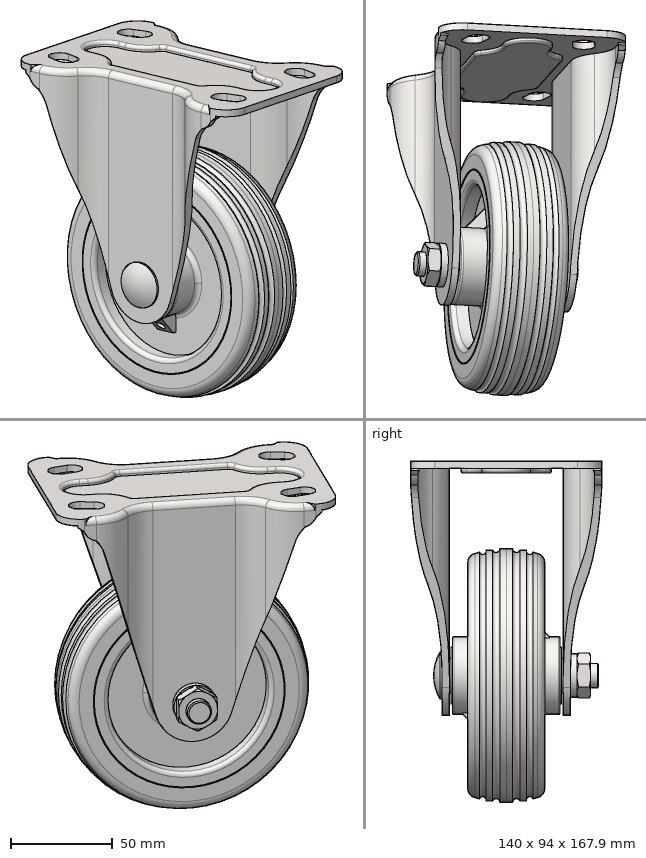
import cadquery as cq
import math


plate_length = 140.0
plate_width = 94.0
overall_height = 167.9
wheel_radius = 62.5
axle_height = wheel_radius - overall_height

sheet_thickness = 3.5
leg_inner_gap = 56.0
waist_width = leg_inner_gap + 2 * sheet_thickness
waist_half_length = 20.6
flare_end_x = 52.0
flare_split = 0.44
plate_corner_radius = 12.0
bend_radius = 3.4
bend_run_out_start_x = 57.4
bend_run_out_end_x = 53.9

leg_end_radius = 19.6
shoulder_tip = (61.1, -4.5)
shoulder_corner = (58.3, -6.7)
shoulder_step_mid = (56.2, -9.5)
shoulder_step = (52.7, -11.5)
shoulder_bend_mid = (50.4, -14.1)
leg_taper_start = (48.2, -18.0)

boss_depth = 2.4
hollow_depth = 2.9
recess_waist_width = 44.3
recess_waist_half_length = 27.0
recess_flare_end_x = 45.0
recess_flare_split = 0.25
recess_end_width = 24.0
recess_tip_x = 61.3
recess_wall_inset = 2.0
recess_edge_fillet = 1.8
boss_edge_fillet = 1.0

slot_width = 10.9
slot_straight = 6.9
slot_angle = 14
slot_x = 53.0
slot_y = 27.2

tyre_half_width = 19.0
tyre_shoulder_radius = 55.2
tyre_shoulder_start = (15.3, 60.1)
tyre_shoulder_mid = (18.0, 58.5)
crown_half_width = 3.2
tread_rib_edge = 6.7
tread_rib_end = 10.0
tread_rib_radius = 61.8
outer_rib_edge = 13.1
outer_rib_radius = 60.8
tread_groove_depth = 1.2

seam_radius = 47.8
seam_width = 0.5
seam_depth = 0.3
web_half_width = 10.4
rim_inner_radius = 40.3
rim_edge_fillet = 2.4
hub_radius = 19.1
hub_half_width = 26.5
hub_base_fillet = 2.5
hub_end_fillet = 0.8
bearing_radius = 14.0
bearing_half_width = 27.2
spacer_radius = 8.5

lug_width = 10.0
lug_outer_radius = 28.2
lug_top_y = 21.2
lug_bottom_y = 12.5
lug_hole_radius = 2.5
lug_hole_offset = 24.5
lug_hole_depth = 2.0

axle_radius = 6.0
head_radius = 11.5
head_rim = 1.0
head_height = 4.2
washer_radius = 10.7
washer_thickness = 3.4
nut_across_flats = 19.3
nut_height = 6.5
nut_chamfer = 0.7
axle_end_y = 45.5
axle_end_chamfer = 0.7


def add_flare(path, waist, flare_end, split, outward):
    """Add an S-curve of two tangent arcs; `waist` and `flare_end` both have X-parallel tangents."""
    junction = tuple(w + split * (e - w) for w, e in zip(waist, flare_end))
    finish = flare_end if outward else waist
    return path.tangentArcPoint(junction, relative=False).tangentArcPoint(finish, relative=False)


def waisted_outline(waist_x, waist_y, flare_x, end_y, tip_x, corner_radius, split):
    """Closed outline, narrow in the middle and flared towards rounded ends at both X sides."""
    path = cq.Workplane("XY").moveTo(-waist_x, waist_y)
    for side in (1, -1):
        waist_corner = (side * waist_x, side * waist_y)
        path = path.lineTo(*waist_corner)
        path = add_flare(path, waist_corner, (side * flare_x, side * end_y), split, True)
        path = path.lineTo(side * (tip_x - corner_radius), side * end_y)
        path = path.tangentArcPoint((side * tip_x, side * (end_y - corner_radius)), relative=False)
        if end_y > corner_radius:
            path = path.lineTo(side * tip_x, -side * (end_y - corner_radius))
        path = path.tangentArcPoint((side * (tip_x - corner_radius), -side * end_y), relative=False)
        path = path.lineTo(side * flare_x, -side * end_y)
        opposite_waist = (side * waist_x, -side * waist_y)
        path = add_flare(path, opposite_waist, (side * flare_x, -side * end_y), split, False)
    return path.close()


def plate_outline():
    return waisted_outline(
        waist_half_length,
        waist_width / 2,
        flare_end_x,
        plate_width / 2,
        plate_length / 2,
        plate_corner_radius,
        flare_split,
    )


def recess_outline():
    return waisted_outline(
        recess_waist_half_length,
        recess_waist_width / 2,
        recess_flare_end_x,
        recess_end_width / 2,
        recess_tip_x,
        recess_end_width / 2,
        recess_flare_split,
    )


def leg_profile():
    """Plate band plus the tapering leg, cut through along Y."""
    start_x, start_z = leg_taper_start
    to_axle = math.hypot(start_x, axle_height - start_z)
    axle_direction = math.atan2(axle_height - start_z, -start_x)
    tangent_length = math.sqrt(to_axle**2 - leg_end_radius**2)
    tangent_direction = axle_direction + math.asin(leg_end_radius / to_axle)
    tangent_x = start_x + tangent_length * math.cos(tangent_direction)
    tangent_z = start_z + tangent_length * math.sin(tangent_direction)

    def left(point):
        return (-point[0], point[1])

    return (
        cq.Workplane("XZ")
        .moveTo(-plate_length / 2, 0)
        .lineTo(plate_length / 2, 0)
        .lineTo(plate_length / 2, -sheet_thickness)
        .lineTo(shoulder_tip[0], -sheet_thickness)
        .lineTo(*shoulder_tip)
        .lineTo(*shoulder_corner)
        .threePointArc(shoulder_step_mid, shoulder_step)
        .threePointArc(shoulder_bend_mid, leg_taper_start)
        .lineTo(tangent_x, tangent_z)
        .threePointArc((0, axle_height - leg_end_radius), (-tangent_x, tangent_z))
        .lineTo(*left(leg_taper_start))
        .threePointArc(left(shoulder_bend_mid), left(shoulder_step))
        .threePointArc(left(shoulder_step_mid), left(shoulder_corner))
        .lineTo(*left(shoulder_tip))
        .lineTo(-shoulder_tip[0], -sheet_thickness)
        .lineTo(-plate_length / 2, -sheet_thickness)
        .close()
        .extrude(plate_width, both=True)
    )


def bend_zone():
    """Region whose top edges are rounded; its slanted corners run the bend out along X."""
    half_width = plate_width / 2
    inner_y = half_width - bend_radius
    corner_points = [
        (bend_run_out_start_x, half_width),
        (bend_run_out_end_x, inner_y),
        (bend_run_out_end_x, -inner_y),
        (bend_run_out_start_x, -half_width),
    ]
    opposite_points = [(-x, -y) for x, y in corner_points]
    return cq.Workplane("XY").polyline(corner_points + opposite_points).close().extrude(-overall_height)


def folded_sheet():
    """Plate with both legs folded down along its waisted edges."""
    depth = leg_end_radius - axle_height
    block = plate_outline().extrude(-depth)
    bent_block = block.faces(">Z").edges().fillet(bend_radius)
    zone = bend_zone()
    sheet = bent_block.intersect(zone).union(block.cut(zone))
    inside = plate_outline().offset2D(-sheet_thickness).extrude(sheet_thickness - depth)
    sheet = sheet.cut(inside.translate((0, 0, -sheet_thickness)))
    return sheet.intersect(leg_profile())


def add_recess(sheet):
    """Press a pan into the plate: hollow on top, boss underneath."""
    boss = recess_outline().extrude(-sheet_thickness - boss_depth)
    boss = boss.faces("<Z").edges().fillet(boss_edge_fillet)
    hollow = recess_outline().offset2D(-recess_wall_inset).extrude(-hollow_depth)
    sheet = sheet.union(boss).cut(hollow)
    rim = cq.selectors.BoxSelector(
        (-recess_tip_x, -recess_waist_width / 2, -0.2), (recess_tip_x, recess_waist_width / 2, 0.2)
    )
    return sheet.edges(rim).fillet(recess_edge_fillet)


def mounting_slots():
    slots = cq.Workplane("XY")
    for side_x in (-1, 1):
        for side_y in (-1, 1):
            slot = (
                cq.Workplane("XY")
                .center(side_x * slot_x, side_y * slot_y)
                .slot2D(slot_straight + slot_width, slot_width, -side_x * side_y * slot_angle)
                .extrude(-sheet_thickness)
            )
            slots = slots.add(slot)
    return slots.combine()


def make_bracket():
    bracket = add_recess(folded_sheet()).cut(mounting_slots())
    axle_hole = cq.Workplane("XZ").center(0, axle_height).circle(axle_radius).extrude(plate_width, both=True)
    return bracket.cut(axle_hole)


def revolved_on_axle(outline):
    """Revolve a closed (radius, Y) outline about the axle."""
    return outline.revolve(360, (0, 0), (0, 1)).translate((0, 0, axle_height))


def turned_wheel():
    """Tread, rim, web and hub in one turned outline: its +Y half, mirrored across the middle."""
    first_groove_bottom = tread_rib_radius - tread_groove_depth
    second_groove_bottom = outer_rib_radius - tread_groove_depth
    shoulder_y, shoulder_radius = tyre_shoulder_start
    shoulder_mid_y, shoulder_mid_radius = tyre_shoulder_mid
    seam_middle = seam_radius, tyre_half_width - seam_depth
    rim_fillet_y = tyre_half_width - rim_edge_fillet
    arc_lag = 1 - math.sqrt(0.5)
    outline = (
        cq.Workplane("XY")
        .moveTo(wheel_radius, 0)
        .lineTo(wheel_radius, crown_half_width)
        .threePointArc(
            (first_groove_bottom, (crown_half_width + tread_rib_edge) / 2), (tread_rib_radius, tread_rib_edge)
        )
        .lineTo(tread_rib_radius, tread_rib_end)
        .threePointArc(
            (second_groove_bottom, (tread_rib_end + outer_rib_edge) / 2), (outer_rib_radius, outer_rib_edge)
        )
        .lineTo(shoulder_radius, shoulder_y)
        .threePointArc((shoulder_mid_radius, shoulder_mid_y), (tyre_shoulder_radius, tyre_half_width))
        .lineTo(seam_radius + seam_width / 2, tyre_half_width)
        .lineTo(*seam_middle)
        .lineTo(seam_radius - seam_width / 2, tyre_half_width)
        .lineTo(rim_inner_radius + rim_edge_fillet, tyre_half_width)
        .threePointArc(
            (rim_inner_radius + arc_lag * rim_edge_fillet, tyre_half_width - arc_lag * rim_edge_fillet),
            (rim_inner_radius, rim_fillet_y),
        )
        .lineTo(rim_inner_radius, web_half_width)
        .lineTo(hub_radius + hub_base_fillet, web_half_width)
        .threePointArc(
            (hub_radius + arc_lag * hub_base_fillet, web_half_width + arc_lag * hub_base_fillet),
            (hub_radius, web_half_width + hub_base_fillet),
        )
        .lineTo(hub_radius, hub_half_width - hub_end_fillet)
        .threePointArc(
            (hub_radius - arc_lag * hub_end_fillet, hub_half_width - arc_lag * hub_end_fillet),
            (hub_radius - hub_end_fillet, hub_half_width),
        )
        .lineTo(bearing_radius, hub_half_width)
        .lineTo(bearing_radius, bearing_half_width)
        .lineTo(spacer_radius, bearing_half_width)
        .lineTo(spacer_radius, leg_inner_gap / 2)
        .lineTo(axle_radius, leg_inner_gap / 2)
        .lineTo(axle_radius, 0)
    )
    return revolved_on_axle(outline.mirrorX())


def grease_lug():
    """Sloping lug above the hub on the +Y side, with a shallow greasing hole square to its slope."""
    inner_radius = (hub_radius + axle_radius) / 2
    slope_rise = lug_outer_radius - hub_radius
    slope_run = lug_top_y - lug_bottom_y
    lug = (
        cq.Workplane("YZ")
        .moveTo(0, inner_radius)
        .lineTo(lug_top_y, inner_radius)
        .lineTo(lug_top_y, hub_radius)
        .lineTo(lug_bottom_y, lug_outer_radius)
        .lineTo(0, lug_outer_radius)
        .close()
        .extrude(lug_width / 2, both=True)
    )
    hole_y = lug_top_y - slope_run * (lug_hole_offset - hub_radius) / slope_rise
    slope_plane = cq.Plane((0, hole_y, lug_hole_offset), (1, 0, 0), (0, slope_rise, slope_run))
    hole = cq.Workplane(slope_plane).circle(lug_hole_radius).extrude(-lug_hole_depth)
    return lug.cut(hole).translate((0, 0, axle_height))


def make_wheel():
    wheel = turned_wheel()
    axle_point = (0, 0, axle_height)
    for turn in (0, 180):
        lug = grease_lug().rotate(axle_point, (1, 0, axle_height), turn)
        wheel = wheel.union(lug, clean=True)
    return wheel


def axle_shaft():
    """Bolt with a domed head at -Y and the washer at +Y, turned in one outline."""
    leg_outer_y = waist_width / 2
    washer_outer_y = leg_outer_y + washer_thickness
    dome_height = head_height - head_rim
    dome_radius = (head_radius**2 + dome_height**2) / (2 * dome_height)
    dome_mid_radius = head_radius / 2
    dome_mid_y = leg_outer_y + head_height - dome_radius + math.sqrt(dome_radius**2 - dome_mid_radius**2)
    outline = (
        cq.Workplane("XY")
        .moveTo(0, -leg_outer_y - head_height)
        .threePointArc((dome_mid_radius, -dome_mid_y), (head_radius, -leg_outer_y - head_rim))
        .lineTo(head_radius, -leg_outer_y)
        .lineTo(axle_radius, -leg_outer_y)
        .lineTo(axle_radius, leg_outer_y)
        .lineTo(washer_radius, leg_outer_y)
        .lineTo(washer_radius, washer_outer_y)
        .lineTo(axle_radius, washer_outer_y)
        .lineTo(axle_radius, axle_end_y - axle_end_chamfer)
        .lineTo(axle_radius - axle_end_chamfer, axle_end_y)
        .lineTo(0, axle_end_y)
        .close()
    )
    return revolved_on_axle(outline)


def nut():
    """Hexagon nut with two corners on the vertical and conically chamfered ends."""
    inner_y = waist_width / 2 + washer_thickness
    corner_radius = nut_across_flats / math.sqrt(3)
    end_radius = corner_radius - 2 * nut_chamfer
    hexagon = (
        cq.Workplane("XZ", origin=(0, inner_y, axle_height))
        .transformed(rotate=(0, 0, 90))
        .polygon(6, 2 * corner_radius)
        .extrude(-nut_height)
    )
    envelope = revolved_on_axle(
        cq.Workplane("XY")
        .moveTo(0, inner_y)
        .lineTo(end_radius, inner_y)
        .lineTo(corner_radius, inner_y + nut_chamfer)
        .lineTo(corner_radius, inner_y + nut_height - nut_chamfer)
        .lineTo(end_radius, inner_y + nut_height)
        .lineTo(0, inner_y + nut_height)
        .close()
    )
    return hexagon.intersect(envelope)


def make_axle():
    return axle_shaft().union(nut())


bracket = make_bracket()
wheel = make_wheel()
axle = make_axle()

result = cq.Compound.makeCompound([bracket.val(), wheel.val(), axle.val()])